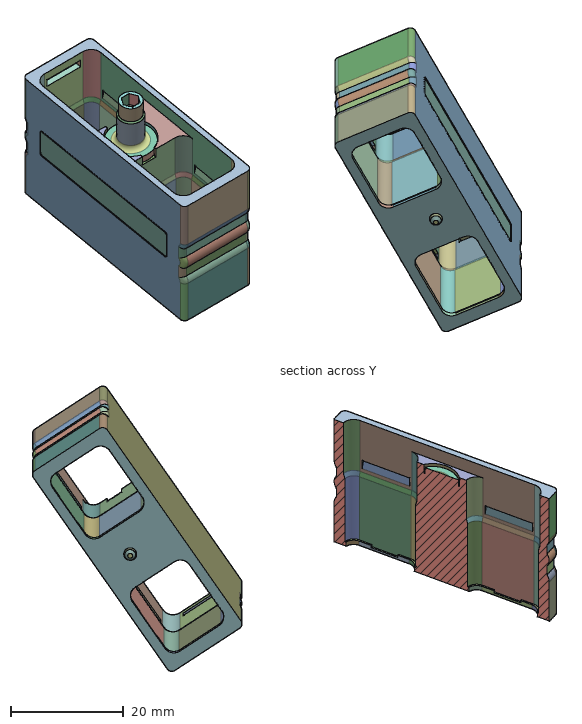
import cadquery as cq
import math

LENGTH = 44.4
WIDTH = 15.8
HEIGHT = 28.0
CORNER_RADIUS = 1.0

GRIP_Z = 13.8
GRIP_DEPTH = 0.5
GRIP_ARC_RADIUS = 2.2
GRIP_ARC_RISE = math.sqrt(GRIP_ARC_RADIUS**2 - (GRIP_ARC_RADIUS - GRIP_DEPTH) ** 2)
GRIP_FLAT = 2.0

LABEL_LENGTH = 34.83
LABEL_HEIGHT = 5.95
LABEL_Z = 15.3
LABEL_DEPTH = 0.18
LABEL_CORNER = 0.55

CAVITY_LENGTH = 40.4
CAVITY_WIDTH = 13.4
CAVITY_CORNER = 2.2
BRIDGE_WIDTH = 10.2
BRIDGE_TOP = 25.25
BAY_LENGTH = (CAVITY_LENGTH - BRIDGE_WIDTH) / 2
BAY_X = (BRIDGE_WIDTH + BAY_LENGTH) / 2

LEAD_IN_TOP = 16.4
LEAD_IN_HEIGHT = 1.0
LEAD_IN_INSET = 0.29
LEAD_IN_SLOPE = LEAD_IN_INSET / LEAD_IN_HEIGHT
LEDGE_Z = 1.0
LEDGE_X = 0.18
LEDGE_Y = 0.3
LEDGE_NOTCH_LENGTH = 5.5
LEDGE_NOTCH_DEPTH = 0.5

LATCH_LENGTH = 9.77
LATCH_TOP = 19.05
LATCH_HEIGHT = 1.85
END_SLOT_WIDTH = 7.77
END_SLOT_TOP = 26.2
END_SLOT_HEIGHT = 1.6
END_SLOT_DEPTH = 1.2

SCREW_Y = -1.5
SEAT_RADIUS = 4.85
SEAT_DEPTH = 2.0
SEAT_SLOT_WIDTH = 3.1
FLANGE_RADIUS = 4.73
FLANGE_TOP = 24.65
FOOT_RADIUS = 1.0
SHAFT_RADIUS = 2.51
HEAD_RADIUS = 2.2
HEAD_HEIGHT = 3.15
SCREW_TOP = 34.4
HEX_ACROSS_FLATS = 3.0
HEX_SIDES = 6
HEX_DEPTH = 2.65
DRILL_RADIUS = 1.2
DRILL_CONE_DEPTH = 0.7
TIP_LENGTH = 1.15
TIP_RADIUS = 1.15
TIP_SHOULDER_RADIUS = 0.98
TIP_SHOULDER_DROP = 0.55
TIP_END_RADIUS = 0.45


def rounded_block(length, width, corner, bottom, top, x=0.0):
    """Vertical-sided block with rounded upright edges, centred on (x, 0)."""
    block = cq.Workplane("XY").box(length, width, top - bottom, centered=(True, True, False))
    return block.edges("|Z").fillet(corner).translate((x, 0, bottom))


def rounded_outline(length, width, corner):
    return cq.Sketch().rect(length, width).vertices().fillet(corner)


def grip_groove():
    """Groove for the +X face, centred on Z = 0: a flat floor between two convex arcs."""
    face_x = LENGTH / 2
    floor_x = face_x - GRIP_DEPTH
    arc_centre_x = face_x - GRIP_ARC_RADIUS
    mid_x = arc_centre_x + math.sqrt(GRIP_ARC_RADIUS**2 - (GRIP_ARC_RISE / 2) ** 2)
    floor_z = GRIP_FLAT / 2
    mid_z = floor_z + GRIP_ARC_RISE / 2
    end_z = floor_z + GRIP_ARC_RISE
    return (
        cq.Workplane("XZ")
        .moveTo(face_x, -end_z)
        .threePointArc((mid_x, -mid_z), (floor_x, -floor_z))
        .lineTo(floor_x, floor_z)
        .threePointArc((mid_x, mid_z), (face_x, end_z))
        .close()
        .extrude(WIDTH / 2, both=True)
    )


def make_body():
    """Box with grooved ends; the rounds along its upright corners follow the grooves."""
    body = cq.Workplane("XY").box(LENGTH, WIDTH, HEIGHT, centered=(True, True, False))
    groove_offset = GRIP_ARC_RISE + GRIP_FLAT / 2
    for offset in (-groove_offset, groove_offset):
        groove = grip_groove().translate((0, 0, GRIP_Z + offset))
        body = body.cut(groove).cut(groove.mirror("YZ"))
    return body.faces("<Y or >Y").edges("not(<Z or >Z)").fillet(CORNER_RADIUS)


def label_recess():
    outline = rounded_outline(LABEL_LENGTH, LABEL_HEIGHT, LABEL_CORNER)
    plane = cq.Workplane("XZ", origin=(0, -WIDTH / 2 + LABEL_DEPTH, LABEL_Z))
    return plane.placeSketch(outline).extrude(LABEL_DEPTH)


def bay(x):
    """Through opening of one bay, from the rim down to the underside."""
    lead_in_bottom = LEAD_IN_TOP - LEAD_IN_HEIGHT
    sleeve_length = BAY_LENGTH - 2 * LEAD_IN_INSET
    sleeve_width = CAVITY_WIDTH - 2 * LEAD_IN_INSET
    sleeve_corner = CAVITY_CORNER - LEAD_IN_INSET
    opening_length = sleeve_length - 2 * LEDGE_X
    opening_width = sleeve_width - 2 * LEDGE_Y

    upper = rounded_block(BAY_LENGTH, CAVITY_WIDTH, CAVITY_CORNER, LEAD_IN_TOP, HEIGHT, x)
    lead_in = (
        cq.Workplane("XY", origin=(x, 0, lead_in_bottom))
        .placeSketch(
            rounded_outline(sleeve_length, sleeve_width, sleeve_corner),
            rounded_outline(BAY_LENGTH, CAVITY_WIDTH, CAVITY_CORNER).moved(
                cq.Location(cq.Vector(0, 0, LEAD_IN_HEIGHT))
            ),
        )
        .loft()
    )
    sleeve = rounded_block(sleeve_length, sleeve_width, sleeve_corner, LEDGE_Z, lead_in_bottom, x)
    opening = rounded_block(opening_length, opening_width, sleeve_corner, 0, LEDGE_Z, x)
    notch = (
        cq.Workplane("XY", origin=(x, -sleeve_width / 2, LEDGE_Z - LEDGE_NOTCH_DEPTH))
        .box(LEDGE_NOTCH_LENGTH, sleeve_width / 2, LEDGE_NOTCH_DEPTH, centered=(True, False, False))
    )
    return upper.union(lead_in).union(sleeve).union(opening).union(notch)


def latch_recesses(x):
    """Wedge recesses in both long walls of a bay, deepest along their top edge."""
    wall_y = CAVITY_WIDTH / 2
    depth = LATCH_HEIGHT * LEAD_IN_SLOPE
    bottom = LATCH_TOP - LATCH_HEIGHT
    section = [
        (0, bottom),
        (wall_y, bottom),
        (wall_y + depth, LATCH_TOP),
        (0, LATCH_TOP),
    ]
    wedge = cq.Workplane("YZ").polyline(section).close().extrude(LATCH_LENGTH / 2, both=True)
    return wedge.union(wedge.mirror("XZ")).translate((x, 0, 0))


def end_slots():
    """Slots in both end walls of the cavity, just below the rim."""
    slot = (
        cq.Workplane("XY", origin=(CAVITY_LENGTH / 2, 0, END_SLOT_TOP - END_SLOT_HEIGHT))
        .box(END_SLOT_DEPTH, END_SLOT_WIDTH, END_SLOT_HEIGHT, centered=(False, True, False))
    )
    return slot.union(slot.mirror("YZ"))


def screw_seat():
    """Round seat in the bridge, with a slot running out into both bays."""
    floor = cq.Workplane("XY", origin=(0, SCREW_Y, BRIDGE_TOP - SEAT_DEPTH))
    bore = floor.circle(SEAT_RADIUS).extrude(SEAT_DEPTH)
    slot = floor.rect(BRIDGE_WIDTH, SEAT_SLOT_WIDTH).extrude(SEAT_DEPTH)
    return bore.union(slot)


def screw():
    """Flanged screw with a hexagon socket; its stepped tip sticks out underneath."""
    head_bottom = SCREW_TOP - HEAD_HEIGHT
    chamfer = SHAFT_RADIUS - HEAD_RADIUS
    seat_floor = BRIDGE_TOP - SEAT_DEPTH
    foot_mid = FOOT_RADIUS * (1 - math.sqrt(0.5))
    turned = (
        cq.Workplane("XZ")
        .moveTo(0, -TIP_LENGTH)
        .lineTo(TIP_END_RADIUS, -TIP_LENGTH)
        .lineTo(TIP_SHOULDER_RADIUS, -TIP_SHOULDER_DROP)
        .lineTo(TIP_RADIUS, 0)
        .lineTo(TIP_RADIUS, seat_floor)
        .lineTo(FLANGE_RADIUS, seat_floor)
        .lineTo(FLANGE_RADIUS, FLANGE_TOP)
        .lineTo(SHAFT_RADIUS + FOOT_RADIUS, FLANGE_TOP)
        .threePointArc(
            (SHAFT_RADIUS + foot_mid, FLANGE_TOP + foot_mid),
            (SHAFT_RADIUS, FLANGE_TOP + FOOT_RADIUS),
        )
        .lineTo(SHAFT_RADIUS, head_bottom - chamfer)
        .lineTo(HEAD_RADIUS, head_bottom)
        .lineTo(HEAD_RADIUS, SCREW_TOP)
        .lineTo(0, SCREW_TOP)
        .close()
        .revolve(360, (0, 0, 0), (0, 1, 0))
    )
    socket_floor = SCREW_TOP - HEX_DEPTH
    half_side_angle = 180 / HEX_SIDES
    across_corners = HEX_ACROSS_FLATS / math.cos(math.radians(half_side_angle))
    hexagon = (
        cq.Workplane("XY", origin=(0, 0, socket_floor))
        .polygon(HEX_SIDES, across_corners)
        .extrude(HEX_DEPTH)
        .rotate((0, 0, 0), (0, 0, 1), half_side_angle)
    )
    cone_point = cq.Vector(0, 0, socket_floor - DRILL_CONE_DEPTH)
    cone = cq.Solid.makeCone(0, DRILL_RADIUS, DRILL_CONE_DEPTH, cone_point)
    return turned.cut(hexagon).cut(cone).translate((0, SCREW_Y, 0))


result = make_body().cut(label_recess())
result = result.cut(rounded_block(CAVITY_LENGTH, CAVITY_WIDTH, CAVITY_CORNER, BRIDGE_TOP, HEIGHT))
result = result.cut(end_slots())
for bay_x in (-BAY_X, BAY_X):
    result = result.cut(bay(bay_x)).cut(latch_recesses(bay_x))
result = result.cut(screw_seat()).union(screw())